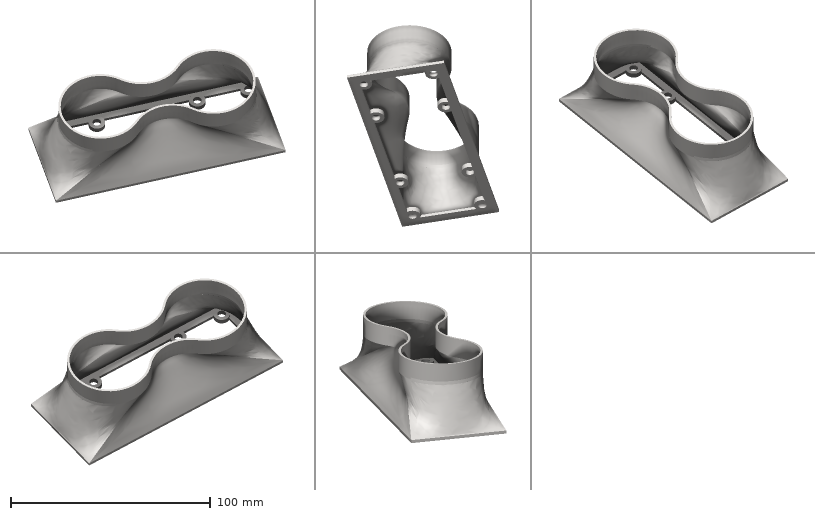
import cadquery as cq
import math

base_width = 50.0
base_length = 120.0
plate_height = 1.6
ledge_width = 5.0

transition_height = 25.0
collar_height = 10.0
wall = 1.2

lobe_radius = 21.2
lobe_y = 29.5
waist_radius = 20.0

blend_half_height = 0.85
blend_start = 9.5

lug_diameter = 8.3
lug_hole_diameter = 4.3
lug_height = 2.6
lug_x = 18.0
inner_lug_y = 26.2
outer_lug_y = 53.0

collar_bottom = plate_height + transition_height
centre_distance = lobe_radius + waist_radius
waist_centre_x = math.sqrt(centre_distance**2 - lobe_y**2)
end_slope = (base_length / 2 - lobe_y - lobe_radius) / transition_height


def rectangle(z, inset):
    """Base outline at height z, moved inwards by inset."""
    x = base_width / 2 - inset
    y = base_length / 2 - inset
    return cq.Workplane("XY", origin=(0, 0, z)).polyline([(-x, -y), (x, -y), (x, y), (-x, y)]).close()


def two_lobes(z, inset):
    """Two lobes and waist at height z, moved inwards by inset; the arcs meet where they are tangent."""
    radius = lobe_radius - inset
    tangent_x = waist_centre_x * radius / centre_distance
    tangent_y = lobe_y * (1 - radius / centre_distance)
    half_waist = waist_centre_x - waist_radius - inset
    end_y = lobe_y + radius
    return (
        cq.Workplane("XY", origin=(0, 0, z))
        .moveTo(-tangent_x, -tangent_y)
        .threePointArc((0, -end_y), (tangent_x, -tangent_y))
        .threePointArc((half_waist, 0), (tangent_x, tangent_y))
        .threePointArc((0, end_y), (-tangent_x, tangent_y))
        .threePointArc((-half_waist, 0), (-tangent_x, -tangent_y))
        .close()
    )


def loft(lower, upper):
    """Ruled solid between two closed outlines."""
    return cq.Workplane(cq.Solid.makeLoft([lower.wire().val(), upper.wire().val()], True))


def lobe_cap(z, inset, shift):
    """Outer segment of the +Y lobe at height z, shifted along Y."""
    radius = lobe_radius - inset
    chord_x = math.sqrt(radius**2 - blend_start**2)
    chord_y = lobe_y + blend_start + shift
    return (
        cq.Workplane("XY", origin=(0, 0, z))
        .moveTo(-chord_x, chord_y)
        .threePointArc((0, lobe_y + radius + shift), (chord_x, chord_y))
        .close()
    )


def end_blend(inset):
    """Slanted band that softens the corner between the collar and the +Y end."""
    lower = lobe_cap(collar_bottom - blend_half_height, inset, end_slope * blend_half_height)
    upper = lobe_cap(collar_bottom + blend_half_height, inset, 0)
    return loft(lower, upper)


def transition_and_collar(inset):
    """Solid transition, collar and end blends, moved inwards by inset."""
    transition = loft(rectangle(plate_height, inset), two_lobes(collar_bottom, inset))
    collar = two_lobes(collar_bottom, inset).extrude(collar_height)
    blend = end_blend(inset)
    return transition.union(collar).union(blend).union(blend.mirror("XZ"))


def base_plate():
    """Rectangular plate with the ledge left around its opening."""
    opening = rectangle(0, ledge_width).extrude(plate_height)
    return rectangle(0, 0).extrude(plate_height).cut(opening)


def lug_cylinders(diameter):
    """One cylinder at every screw position."""
    positions = [
        (x, y)
        for x in (-lug_x, lug_x)
        for y in (-outer_lug_y, -inner_lug_y, inner_lug_y, outer_lug_y)
    ]
    return cq.Workplane("XY").pushPoints(positions).circle(diameter / 2).extrude(lug_height)


shell = transition_and_collar(0).cut(transition_and_collar(wall))
lugs = lug_cylinders(lug_diameter)
holes = lug_cylinders(lug_hole_diameter)
result = base_plate().union(shell).union(lugs).cut(holes)